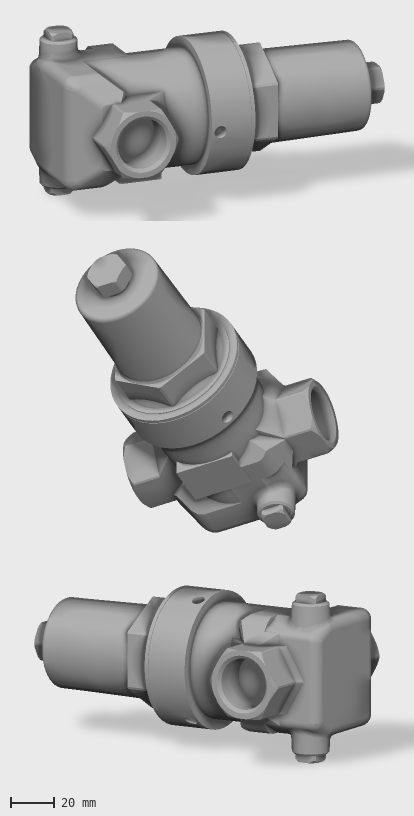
import cadquery as cq
import math


port_length = 95.0
total_length = 164.2
total_height = 79.0

bottom_y = -28.7
collar_bottom_y = 40.0
collar_top_y = 61.7
nut_top_y = 76.9
nut_lip_top_y = 78.0
cap_top_y = 124.8
knob_bottom_y = 127.1
top_y = bottom_y + total_length

body_diameter = 55.0
collar_diameter = 65.0
collar_groove_y = 59.6
collar_groove_size = 0.3
flange_diameter = 57.5
flange_height = 0.5
seat_base_diameter = 51.5
seat_top_diameter = 46.0
seat_height = 2.1
nut_flats = 46.0
nut_corner_diameter = 52.4
nut_lip_diameter = 45.7
cap_base_diameter = 44.0
cap_top_diameter = 42.4
cap_fillet = 2.0
neck_diameter = 15.0
knob_flats = 17.5
knob_corner_diameter = 19.7
knob_chamfer = 0.7

wrench_hole_diameter = 6.0
wrench_hole_depth = 4.1
wrench_hole_y = 44.5
wrench_hole_count = 3
wrench_hole_angle = 23.2

port_flats = 32.2
port_corner_diameter = 36.6
port_end_diameter = 32.5
port_bore_diameter = 24.1
port_mouth_diameter = 27.3
port_bore_depth = 17.2
flare_start_x = 32.0
flare_end_x = 21.3
inlet_foot_start_x = 29.9
inlet_foot_end_x = 27.1

housing_half_height = 27.8
block_left_x = -27.5
block_shoulder_x = -15.6
block_edge_z = 21.8
block_edge_fillet = 4.1
block_top_y = 0.0
waist_shoulder_x = 22.7
waist_side_x = 31.9
waist_side_z = port_flats / 2
waist_fillet = 8.2
ramp_drop = 14.8
inlet_ramp_y = 11.5
inlet_ramp_run = 14.8
inlet_side_top_y = 8.2
inlet_corner = (-18.0, 19.7)
inlet_toe_y = -8.2
body_bottom_y = -11.5
outlet_ramp_y = -11.5
outlet_ramp_run = 18.0
outlet_side_x = 33.8
outlet_slope_start_x = 23.0
outlet_slope_end_y = -11.3
outlet_slope_fillet = 8.2
outlet_side_top_y = -6.5
outlet_corner = (24.6, 0.8)
bottom_fillet = 5.0

boss_x = -15.0
boss_y = -17.5
boss_base_diameter = 18.7
boss_top_diameter = 17.4
boss_top_z = 35.8
boss_base_z = 21.3
boss_rim_chamfer = 1.0
boss_root_fillet = 2.8
plug_top_z = total_height / 2
plug_width = 11.2
plug_corner_chamfer = 1.0
plug_top_diameter = 12.0

pad_left_x = -10.5
pad_right_x = 18.0
pad_top_y = 20.7
pad_root_z = -16.5
pad_bottom_z = -28.0


def hex_prism(plane, across_flats, length, turn=0):
    """Hexagonal prism grown from a plane; turn = 0 puts corners on the plane's local X axis."""
    corner_distance = across_flats / math.cos(math.pi / 6)
    return cq.Workplane(plane).transformed(rotate=(0, 0, turn)).polygon(6, corner_distance).extrude(length)


def along_y(y):
    """Plane at height y facing +Y, with local X along +X."""
    return cq.Plane(origin=(0, y, 0), xDir=(1, 0, 0), normal=(0, 1, 0))


def turned(points):
    """Solid of revolution about Y from (radius, y) points."""
    return cq.Workplane("XY").polyline(points).close().revolve(360, (0, 0, 0), (0, 1, 0))


def disc(diameter, y_start, y_end):
    return cq.Workplane(along_y(y_start)).circle(diameter / 2).extrude(y_end - y_start)


def make_collar():
    collar = disc(collar_diameter, collar_bottom_y, collar_top_y)
    groove_top_y = collar_groove_y + collar_groove_size
    groove_floor_diameter = collar_diameter - 2 * collar_groove_size
    groove = disc(collar_diameter, collar_groove_y, groove_top_y)
    groove = groove.cut(disc(groove_floor_diameter, collar_groove_y, groove_top_y))
    collar = collar.cut(groove)
    for index in range(wrench_hole_count):
        angle = math.radians(wrench_hole_angle + index * 360 / wrench_hole_count)
        outward = cq.Vector(-math.sin(angle), 0, math.cos(angle))
        start = outward * (collar_diameter / 2 - wrench_hole_depth) + cq.Vector(0, wrench_hole_y, 0)
        hole = cq.Solid.makeCylinder(wrench_hole_diameter / 2, 2 * wrench_hole_depth, start, outward)
        collar = collar.cut(cq.Workplane(hole))
    return collar


def make_nut():
    nut = hex_prism(along_y(collar_top_y), nut_flats, nut_top_y - collar_top_y, 30)
    rim = disc(nut_corner_diameter, collar_top_y, nut_top_y)
    flange_top_y = collar_top_y + flange_height
    seat = turned([
        (0, collar_top_y),
        (flange_diameter / 2, collar_top_y),
        (flange_diameter / 2, flange_top_y),
        (seat_base_diameter / 2, flange_top_y),
        (seat_top_diameter / 2, flange_top_y + seat_height),
        (0, flange_top_y + seat_height),
    ])
    lip = turned([
        (0, nut_top_y),
        (nut_lip_diameter / 2, nut_top_y),
        (cap_base_diameter / 2, nut_lip_top_y),
        (0, nut_lip_top_y),
    ])
    return nut.intersect(rim).union(seat).union(lip)


def make_cap():
    cap = turned([
        (0, nut_top_y),
        (cap_base_diameter / 2, nut_top_y),
        (cap_top_diameter / 2, cap_top_y),
        (0, cap_top_y),
    ])
    cap = cap.faces(">Y").edges().fillet(cap_fillet)
    neck = disc(neck_diameter, cap_top_y, knob_bottom_y)
    knob = hex_prism(along_y(knob_bottom_y), knob_flats, top_y - knob_bottom_y)
    knob_rim = disc(knob_corner_diameter, knob_bottom_y, top_y).faces("<Y or >Y").chamfer(knob_chamfer)
    return cap.union(neck).union(knob.intersect(knob_rim))


def port_plane(side):
    """Plane through the bonnet axis facing out of a port; side = -1 is the inlet, +1 the outlet."""
    return cq.Plane(origin=(0, 0, 0), xDir=(0, 1, 0), normal=(side, 0, 0))


def make_flare(side, upward, start_x, end_x):
    """Half of a 45 degree hexagonal flare on the +Y or -Y half of a port, flush with its flats."""
    to_corners = 1 / math.cos(math.pi / 6)
    growth = start_x - end_x
    flare = (
        cq.Workplane(port_plane(side))
        .workplane(offset=end_x)
        .polygon(6, (port_flats + 2 * growth) * to_corners)
        .workplane(offset=growth)
        .polygon(6, port_flats * to_corners)
        .loft()
    )
    half = cq.Workplane("XY").box(port_length, port_length, port_flats)
    return flare.intersect(half.translate((0, upward * port_length / 2, 0)))


def make_port(side):
    end_x = port_length / 2
    port = hex_prism(port_plane(side), port_flats, end_x)
    rim = cq.Workplane(port_plane(side)).circle(port_corner_diameter / 2).extrude(end_x)
    end_chamfer = (port_corner_diameter - port_end_diameter) / 2
    rim = rim.faces(">X" if side > 0 else "<X").chamfer(end_chamfer)
    return port.intersect(rim).union(make_flare(side, 1, flare_start_x, flare_end_x))


def make_port_bore(side):
    mouth = cq.Plane(origin=(side * port_length / 2, 0, 0), xDir=(0, 1, 0), normal=(-side, 0, 0))
    bore = cq.Workplane(mouth).circle(port_bore_diameter / 2).extrude(port_bore_depth)
    mouth_chamfer = (port_mouth_diameter - port_bore_diameter) / 2
    countersink = cq.Workplane(mouth).circle(port_mouth_diameter / 2).extrude(mouth_chamfer, taper=45)
    return bore.union(countersink)


def make_waist(side, y_low, y_high):
    """Sloped-shoulder prism along Y on one side of the bonnet axis."""
    plane = cq.Plane(origin=(0, y_high, 0), xDir=(1, 0, 0), normal=(0, -1, 0))
    waist = (
        cq.Workplane(plane)
        .moveTo(0, housing_half_height)
        .lineTo(side * waist_shoulder_x, housing_half_height)
        .lineTo(side * waist_side_x, waist_side_z)
        .lineTo(side * waist_side_x, -waist_side_z)
        .lineTo(side * waist_shoulder_x, -housing_half_height)
        .lineTo(0, -housing_half_height)
        .close()
        .extrude(y_high - y_low)
    )
    at_shoulders = cq.selectors.BoxSelector(
        (side * waist_fillet, y_low, -waist_side_x),
        (side * (waist_side_x - waist_fillet), y_high, waist_side_x),
    )
    return waist.edges("|Y").edges(at_shoulders).fillet(waist_fillet)


def make_ramp(y_low, ramp_y, ramp_run):
    """Prism along X whose upper end falls away from the full housing height."""
    low_z = housing_half_height - ramp_drop
    return (
        cq.Workplane("YZ")
        .moveTo(y_low, -housing_half_height)
        .lineTo(ramp_y, -housing_half_height)
        .lineTo(ramp_y + ramp_run, -low_z)
        .lineTo(ramp_y + ramp_run, low_z)
        .lineTo(ramp_y, housing_half_height)
        .lineTo(y_low, housing_half_height)
        .close()
        .extrude(waist_side_x + outlet_side_x, both=True)
    )


def make_inlet_waist():
    """Inlet half of the housing above the block, with a pointed toe down the block's side."""
    ramp_end_y = inlet_ramp_y + inlet_ramp_run
    waist = make_waist(-1, inlet_toe_y, ramp_end_y)
    outline = (
        cq.Workplane("XY")
        .moveTo(0, block_top_y)
        .lineTo(block_left_x, block_top_y)
        .lineTo(block_left_x, inlet_toe_y)
        .lineTo(-waist_side_x, block_top_y)
        .lineTo(-waist_side_x, inlet_side_top_y)
        .lineTo(*inlet_corner)
        .lineTo(0, ramp_end_y)
        .close()
        .extrude(housing_half_height, both=True)
    )
    return waist.intersect(outline).intersect(make_ramp(inlet_toe_y, inlet_ramp_y, inlet_ramp_run))


def make_inlet_block():
    plane = cq.Plane(origin=(0, block_top_y, 0), xDir=(1, 0, 0), normal=(0, -1, 0))
    block = (
        cq.Workplane(plane)
        .moveTo(0, housing_half_height)
        .lineTo(block_shoulder_x, housing_half_height)
        .lineTo(block_left_x, block_edge_z)
        .lineTo(block_left_x, -block_edge_z)
        .lineTo(block_shoulder_x, -housing_half_height)
        .lineTo(0, -housing_half_height)
        .close()
        .extrude(block_top_y - bottom_y)
    )
    return block.edges("|Y and <X").fillet(block_edge_fillet)


def make_outlet_block():
    waist = make_waist(1, bottom_y, outlet_ramp_y + outlet_ramp_run)
    side_outline = (
        cq.Workplane("XY")
        .moveTo(0, bottom_y)
        .lineTo(outlet_slope_start_x, bottom_y)
        .lineTo(outlet_side_x, outlet_slope_end_y)
        .lineTo(outlet_side_x, outlet_side_top_y)
        .lineTo(*outlet_corner)
        .lineTo(0, outlet_corner[1])
        .close()
        .extrude(housing_half_height, both=True)
        .edges(cq.selectors.NearestToPointSelector((outlet_slope_start_x, bottom_y, 0)))
        .fillet(outlet_slope_fillet)
    )
    ramp = make_ramp(bottom_y, outlet_ramp_y, outlet_ramp_run)
    return waist.intersect(side_outline).intersect(ramp)


def make_boss_body():
    """Tapered gauge boss on the +Z side."""
    return (
        cq.Workplane("XY", origin=(boss_x, boss_y, boss_base_z))
        .circle(boss_base_diameter / 2)
        .workplane(offset=boss_top_z - boss_base_z)
        .circle(boss_top_diameter / 2)
        .loft()
    )


def make_plug():
    """Square plug head whose top corners are cut by a 45 degree cone."""
    base = cq.Workplane("XY", origin=(boss_x, boss_y, boss_base_z))
    height = plug_top_z - boss_base_z
    head = base.rect(plug_width, plug_width).extrude(height).edges("|Z").chamfer(plug_corner_chamfer)
    cone = base.circle(plug_width).extrude(height).faces(">Z").chamfer(plug_width - plug_top_diameter / 2)
    return head.intersect(cone)


def add_bosses(housing):
    """Join both gauge bosses to the housing, fillet their roots, break their rims and fit the plugs."""
    body = make_boss_body()
    plug = make_plug()
    housing = housing.union(body).union(body.mirror("XY"))
    for side in (-1, 1):
        low, high = sorted((side * boss_base_z, side * (housing_half_height + boss_root_fillet)))
        root = cq.selectors.BoxSelector((-port_length, bottom_y, low), (port_length, top_y, high))
        housing = housing.faces("%CONE").edges(root).fillet(boss_root_fillet)
    housing = housing.faces("<Z or >Z").edges().chamfer(boss_rim_chamfer)
    return housing.union(plug).union(plug.mirror("XY"))


def make_pad():
    """Shallow flat pad standing on the underside of the body."""
    depth = pad_bottom_z - pad_root_z
    center = ((pad_left_x + pad_right_x) / 2, pad_top_y / 2, pad_root_z)
    return cq.Workplane("XY", origin=center).rect(pad_right_x - pad_left_x, pad_top_y).extrude(depth)


housing = make_inlet_block().union(make_outlet_block())
housing = housing.faces("<Y").edges().fillet(bottom_fillet)
housing = add_bosses(housing)
housing = housing.union(make_inlet_waist())
housing = housing.union(disc(body_diameter, body_bottom_y, collar_bottom_y))
housing = housing.union(make_pad())

result = housing.union(make_collar()).union(make_nut()).union(make_cap())
for side in (-1, 1):
    result = result.union(make_port(side))
result = result.union(make_flare(-1, -1, inlet_foot_start_x, inlet_foot_end_x))
for side in (-1, 1):
    result = result.cut(make_port_bore(side))